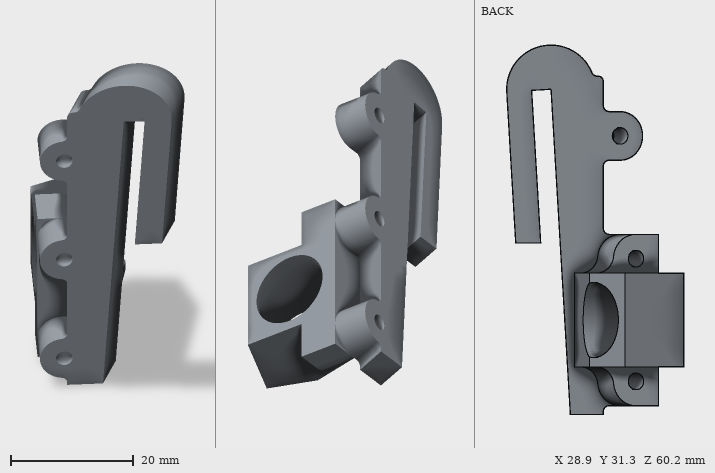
import cadquery as cq
import math

TURN_ANGLE = 22.5

EAR_RADIUS = 4.0
EAR_PITCH = 20.0
FIRST_EAR_Z = 5.4
SCREW_HOLE_DIAMETER = 2.7

PLATE_THICKNESS = 6.0
PLATE_EDGE_X = 4.1
HEIGHT = 60.2
HEAD_RADIUS = 7.2
HEAD_X = 12.65
HEAD_Z = HEIGHT - HEAD_RADIUS
SHOULDER_Z = 55.15
HOOK_TILT = 3.4
SLOT_WIDTH = 3.1
HOOK_DEPTH = 30.1
SLAB_SIZE = 240.75
LEG_END_Z = 27.9
PLATE_FILLET = 0.9
EAR_REACH = 4.2
PLATE_EAR_COUNT = 3

CLAMP_EAR_COUNT = 2
FLANGE_THICKNESS = 6.75
FLANGE_FILLET = 3.0
CLAMP_MID_Z = FIRST_EAR_Z + EAR_PITCH / 2
BLOCK_HEIGHT = 15.3
BLOCK_FRONT_WIDTH = 12.05
BLOCK_LEFT_BACK_Y = 23.55
BLOCK_TIP_X = 12.5
BLOCK_CORNER_X = 15.35
BLOCK_CORNER_Y = 20.5
BORE_DIAMETER = 12.2
BORE_ANGLE = 22.5
BORE_ENTRY_Y = 15.15
BORE_LENGTH = 60.2

SELECT_RANGE = 0.03


def turned(body):
    return body.rotate((0, 0, 0), (0, 0, 1), TURN_ANGLE)


def ear_heights(count):
    return [FIRST_EAR_Z + i * EAR_PITCH for i in range(count)]


def prism(sketch, front_y, thickness):
    """Extrude a sketch drawn in the XZ plane backwards from front_y."""
    return sketch.extrude(-thickness).translate((0, front_y, 0))


def ear_cylinders(count, radius, front_y, thickness):
    centres = [(EAR_RADIUS, z) for z in ear_heights(count)]
    return prism(cq.Workplane("XZ").pushPoints(centres).circle(radius), front_y, thickness)


def round_edges(body, points, radius):
    """Fillet the Y-direction edges that pass through the given (x, z) points."""
    def is_chosen(edge):
        centre = edge.Center()
        return any(math.hypot(centre.x - x, centre.z - z) < SELECT_RANGE for x, z in points)

    chosen = [edge for edge in body.edges("|Y").vals() if is_chosen(edge)]
    return body.newObject(chosen).fillet(radius)


def hook_prism(points):
    """Polygon in the XZ plane, extruded along Y well past both plate faces."""
    return cq.Workplane("XZ").polyline(points).close().extrude(HOOK_DEPTH, both=True)


def make_hook():
    """Hook profile running along Y, trimmed by the two turned faces of the plate."""
    tilt = math.radians(HOOK_TILT)

    def on_tilted_line(offset, z):
        """Point at height z on the tilted line lying offset to the right of the head centre."""
        return (HEAD_X + offset / math.cos(tilt) - (HEAD_Z - z) * math.tan(tilt), z)

    def from_head_centre(offset):
        """Point at the given offset from the head centre, square to the tilted lines."""
        return (HEAD_X + offset * math.cos(tilt), HEAD_Z - offset * math.sin(tilt))

    def tilted_strip(width):
        return hook_prism([
            (HEAD_X, HEAD_Z),
            from_head_centre(width),
            on_tilted_line(width, LEG_END_Z),
            on_tilted_line(0, LEG_END_Z),
        ])

    web = hook_prism([
        (PLATE_EDGE_X, 0),
        on_tilted_line(0, 0),
        (HEAD_X, HEAD_Z),
        (HEAD_X, SHOULDER_Z),
        (PLATE_EDGE_X, SHOULDER_Z),
    ])
    head = cq.Workplane("XZ", origin=(HEAD_X, 0, HEAD_Z)).circle(HEAD_RADIUS).extrude(HOOK_DEPTH, both=True)
    leg = tilted_strip(HEAD_RADIUS)
    slot = tilted_strip(SLOT_WIDTH)
    profile = web.union(head).union(leg).cut(slot)

    shoulder_chord = math.sqrt(HEAD_RADIUS**2 - (SHOULDER_Z - HEAD_Z)**2)
    corners = [(PLATE_EDGE_X, SHOULDER_Z), (HEAD_X - shoulder_chord, SHOULDER_Z)]
    profile = round_edges(profile, corners, PLATE_FILLET)

    slab = cq.Workplane("XY").box(SLAB_SIZE, PLATE_THICKNESS, SLAB_SIZE, centered=(True, False, True))
    return profile.intersect(turned(slab))


def make_hook_plate():
    ears = ear_cylinders(PLATE_EAR_COUNT, EAR_RADIUS, 0, PLATE_THICKNESS)
    ear_middles = [(EAR_RADIUS + EAR_REACH / 2, z) for z in ear_heights(PLATE_EAR_COUNT)]
    ear_bars = cq.Workplane("XZ").pushPoints(ear_middles).rect(EAR_REACH, 2 * EAR_RADIUS)
    ears = ears.union(prism(ear_bars, 0, PLATE_THICKNESS))
    plate = make_hook().union(turned(ears))

    corners = [
        (PLATE_EDGE_X, z + side * EAR_RADIUS)
        for z in ear_heights(PLATE_EAR_COUNT)
        for side in (-1, 1)
    ]
    plate = round_edges(plate, corners, PLATE_FILLET)

    holes = ear_cylinders(PLATE_EAR_COUNT, SCREW_HOLE_DIAMETER / 2, 0, PLATE_THICKNESS)
    return plate.cut(turned(holes))


def make_flange():
    def flange_box(width, height):
        sketch = cq.Workplane("XZ").center(width / 2, CLAMP_MID_Z).rect(width, height)
        return prism(sketch, PLATE_THICKNESS, FLANGE_THICKNESS)

    strip = flange_box(EAR_RADIUS, EAR_PITCH + 2 * EAR_RADIUS)
    middle = flange_box(BLOCK_FRONT_WIDTH, BLOCK_HEIGHT)
    ears = ear_cylinders(CLAMP_EAR_COUNT, EAR_RADIUS, PLATE_THICKNESS, FLANGE_THICKNESS)
    flange = strip.union(middle).union(ears)

    ear_above_block = (EAR_PITCH - BLOCK_HEIGHT) / 2
    corner_x = EAR_RADIUS + math.sqrt(EAR_RADIUS**2 - ear_above_block**2)
    corners = [(corner_x, CLAMP_MID_Z + side * BLOCK_HEIGHT / 2) for side in (-1, 1)]
    return round_edges(flange, corners, FLANGE_FILLET)


def make_clamp():
    bore_slope = math.radians(BORE_ANGLE)
    block = (
        cq.Workplane("XY")
        .workplane(offset=CLAMP_MID_Z - BLOCK_HEIGHT / 2)
        .polyline([
            (0, PLATE_THICKNESS),
            (BLOCK_FRONT_WIDTH, PLATE_THICKNESS),
            (BLOCK_CORNER_X, BLOCK_CORNER_Y),
            (BLOCK_TIP_X, BLOCK_LEFT_BACK_Y + BLOCK_TIP_X * math.tan(bore_slope)),
            (0, BLOCK_LEFT_BACK_Y),
        ])
        .close()
        .extrude(BLOCK_HEIGHT)
    )
    bore_plane = cq.Plane(
        origin=(0, BORE_ENTRY_Y, CLAMP_MID_Z),
        xDir=(0, 0, 1),
        normal=(math.cos(bore_slope), math.sin(bore_slope), 0),
    )
    bore = cq.Workplane(bore_plane).circle(BORE_DIAMETER / 2).extrude(BORE_LENGTH / 2, both=True)
    screw_holes = ear_cylinders(
        CLAMP_EAR_COUNT, SCREW_HOLE_DIAMETER / 2, PLATE_THICKNESS, FLANGE_THICKNESS
    )
    return block.union(make_flange()).cut(bore).cut(screw_holes)


hook_plate = make_hook_plate()
clamp = turned(make_clamp())

result = cq.Compound.makeCompound([hook_plate.val(), clamp.val()])